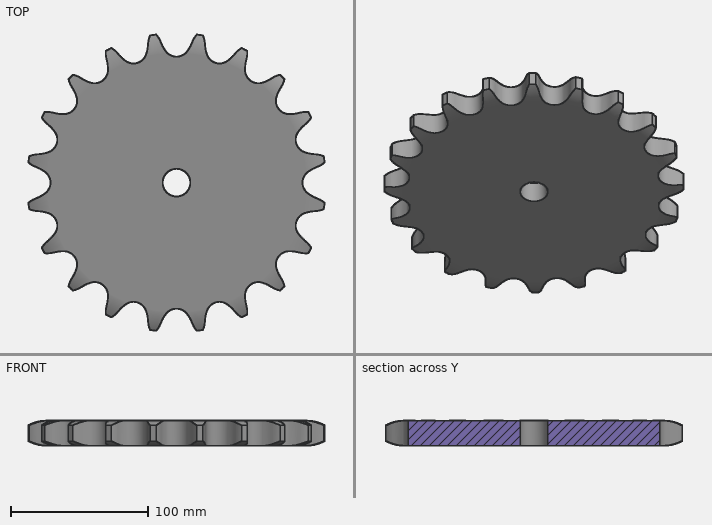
import cadquery as cq
import math

TEETH = 20
CHAIN_PITCH = 31.75
ROLLER_DIAMETER = 19.05
THICKNESS = 18.5
TIP_RADIUS = 109.05
BORE_DIAMETER = 20.0
SIDE_ROUND_START_RADIUS = 94.5
SIDE_ROUND_RADIUS = CHAIN_PITCH
SIDE_ROUND_OVERRUN = 1.0

INCH = 25.4
SEAT_CLEARANCE = 0.003 * INCH
SEAT_RADIUS = (1.005 * ROLLER_DIAMETER + SEAT_CLEARANCE) / 2
SEAT_ANGLE = math.radians(35 + 60 / TEETH)
WORKING_ANGLE = math.radians(18 - 56 / TEETH)
TOPPING_ANGLE = math.radians(17 - 64 / TEETH)
WORKING_CENTER_DISTANCE = 0.8 * ROLLER_DIAMETER
TOPPING_CENTER_DISTANCE = 1.4 * ROLLER_DIAMETER
WORKING_RADIUS = SEAT_RADIUS + WORKING_CENTER_DISTANCE
TOPPING_RADIUS = (
    WORKING_CENTER_DISTANCE * math.cos(WORKING_ANGLE)
    + TOPPING_CENTER_DISTANCE * math.cos(TOPPING_ANGLE)
    - WORKING_RADIUS
)
FLAT_LENGTH = (
    TOPPING_CENTER_DISTANCE * math.sin(TOPPING_ANGLE)
    - WORKING_CENTER_DISTANCE * math.sin(WORKING_ANGLE)
)

HALF_TOOTH_ANGLE = math.pi / TEETH
PITCH_RADIUS = CHAIN_PITCH / (2 * math.sin(HALF_TOOTH_ANGLE))


def on_circle(center, radius, angle):
    """Point at an angle, measured from +X, on a circle."""
    return (center[0] + radius * math.cos(angle), center[1] + radius * math.sin(angle))


def direction(start, end):
    """Angle from +X of the line from start to end."""
    return math.atan2(end[1] - start[1], end[0] - start[0])


def flank_points():
    """Points of the +X flank of the gap centred on +Y, from the seat out to the tip."""
    working_center = on_circle((0, PITCH_RADIUS), WORKING_CENTER_DISTANCE, math.pi - SEAT_ANGLE)
    topping_center = on_circle((0, PITCH_RADIUS), TOPPING_CENTER_DISTANCE, -HALF_TOOTH_ANGLE)
    flat_normal = WORKING_ANGLE - SEAT_ANGLE

    seat_end = on_circle(working_center, WORKING_RADIUS, -SEAT_ANGLE)
    working_middle = on_circle(working_center, WORKING_RADIUS, -SEAT_ANGLE + WORKING_ANGLE / 2)
    flat_start = on_circle(working_center, WORKING_RADIUS, flat_normal)
    flat_end = on_circle(flat_start, FLAT_LENGTH, flat_normal + math.pi / 2)

    center_distance = math.hypot(*topping_center)
    tip_cosine = (center_distance**2 + TIP_RADIUS**2 - TOPPING_RADIUS**2) / (
        2 * center_distance * TIP_RADIUS
    )
    tip_angle = direction((0, 0), topping_center) + math.acos(tip_cosine)
    tip = on_circle((0, 0), TIP_RADIUS, tip_angle)
    topping_angle = (direction(topping_center, flat_end) + direction(topping_center, tip)) / 2
    topping_middle = on_circle(topping_center, TOPPING_RADIUS, topping_angle)
    return [seat_end, working_middle, flat_start, flat_end, topping_middle, tip]


def tooth_outline():
    """Closed outline of all gaps and tooth tips, running clockwise from +Y."""
    right_flank = flank_points()
    left_flank = [(-x, y) for x, y in reversed(right_flank)]

    def turned(point, turn):
        return on_circle((0, 0), math.hypot(*point), direction((0, 0), point) - turn)

    outline = cq.Workplane("XY").moveTo(*left_flank[0])
    for index in range(TEETH):
        turn = 2 * HALF_TOOTH_ANGLE * index
        _, topping_in, flat_in, working_start, working_in, seat_start = [
            turned(point, turn) for point in left_flank
        ]
        seat_end, working_out, flat_out, topping_start, topping_out, tip = [
            turned(point, turn) for point in right_flank
        ]
        seat_middle = turned((0, PITCH_RADIUS - SEAT_RADIUS), turn)
        tip_middle = turned((0, TIP_RADIUS), turn + HALF_TOOTH_ANGLE)
        next_tip = turned(left_flank[0], turn + 2 * HALF_TOOTH_ANGLE)
        outline = (
            outline.threePointArc(topping_in, flat_in)
            .lineTo(*working_start)
            .threePointArc(working_in, seat_start)
            .threePointArc(seat_middle, seat_end)
            .threePointArc(working_out, flat_out)
            .lineTo(*topping_start)
            .threePointArc(topping_out, tip)
            .threePointArc(tip_middle, next_tip)
        )
    return outline.close()


def rounded_disc():
    """Disc whose two faces curve in towards the rim, reaching past the tooth tips."""
    rim_radius = TIP_RADIUS + SIDE_ROUND_OVERRUN
    sweep = math.asin((rim_radius - SIDE_ROUND_START_RADIUS) / SIDE_ROUND_RADIUS)

    def side_point(angle):
        radius = SIDE_ROUND_START_RADIUS + SIDE_ROUND_RADIUS * math.sin(angle)
        drop = SIDE_ROUND_RADIUS * (1 - math.cos(angle))
        return (radius, THICKNESS - drop)

    def mirrored(point):
        return (point[0], THICKNESS - point[1])

    start, middle, rim = [side_point(angle) for angle in (0, sweep / 2, sweep)]
    return (
        cq.Workplane("XZ")
        .lineTo(SIDE_ROUND_START_RADIUS, 0)
        .threePointArc(mirrored(middle), mirrored(rim))
        .lineTo(*rim)
        .threePointArc(middle, start)
        .lineTo(0, THICKNESS)
        .close()
        .revolve(360, (0, 0, 0), (0, 1, 0))
    )


def bore():
    """Through hole on the axis."""
    return cq.Workplane("XY").circle(BORE_DIAMETER / 2).extrude(THICKNESS)


toothed_plate = tooth_outline().extrude(THICKNESS)
result = toothed_plate.intersect(rounded_disc()).cut(bore())